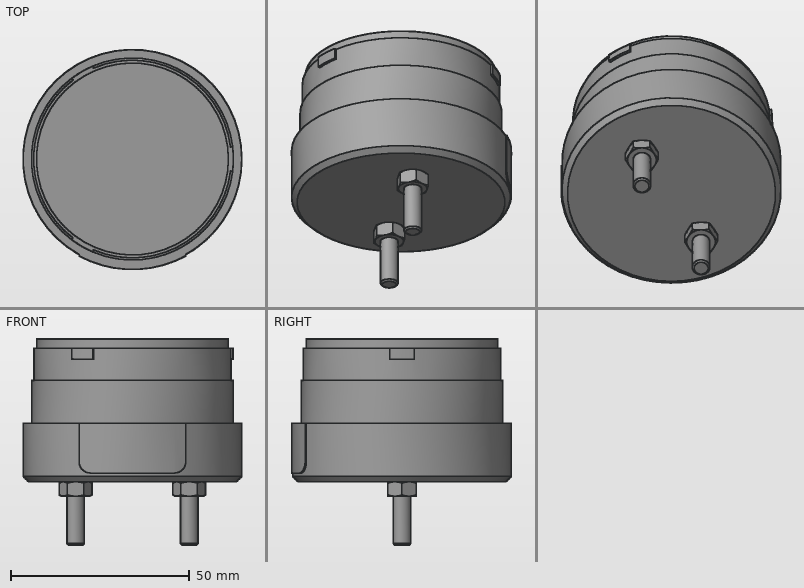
import cadquery as cq

BASE_RADIUS = 30.7
BASE_HEIGHT = 16.5
BASE_CHAMFER = 1.55
BODY_RADIUS = 28.3
BODY_TOP = 28.45
COLLAR_RADIUS = 27.7
COLLAR_TOP = 37.5
CAP_RADIUS = 26.9
CAP_TOP = 40.1

PAD_RADIUS = 31.01
PAD_WIDTH = 29.9
PAD_BOTTOM = 2.45
PAD_CORNER_RADIUS = 3.2

TAB_COUNT = 3
TAB_HEIGHT = 3.1
TAB_ANGLE = 14.0

STUD_SPACING = 31.85
STUD_RADIUS = 2.45
STUD_LENGTH = 17.8
STUD_CHAMFER = 0.5
NUT_CORNER_DIAMETER = 9.25
NUT_HEIGHT = 4.0
NUT_CHAMFER_RADIAL = 0.6
NUT_CHAMFER_AXIAL = 0.4


def disc(radius, bottom, top):
    return cq.Workplane("XY").workplane(offset=bottom).circle(radius).extrude(top - bottom)


def make_body():
    base = disc(BASE_RADIUS, 0, BASE_HEIGHT).faces("<Z").chamfer(BASE_CHAMFER)
    middle = disc(BODY_RADIUS, 0, BODY_TOP)
    collar = disc(COLLAR_RADIUS, 0, COLLAR_TOP)
    cap = disc(CAP_RADIUS, 0, CAP_TOP)
    return base.union(middle).union(collar).union(cap)


def make_pad():
    height = BASE_HEIGHT - PAD_BOTTOM
    block = (
        cq.Workplane("XZ")
        .center(0, PAD_BOTTOM + height / 2)
        .rect(PAD_WIDTH, height)
        .extrude(2 * PAD_RADIUS)
        .edges("|Y and <Z")
        .fillet(PAD_CORNER_RADIUS)
    )
    sleeve = disc(PAD_RADIUS, 0, BASE_HEIGHT).cut(disc(BODY_RADIUS, 0, BASE_HEIGHT))
    return block.intersect(sleeve)


def make_tab(center_angle):
    return (
        cq.Workplane("XZ")
        .moveTo(CAP_RADIUS, COLLAR_TOP - TAB_HEIGHT)
        .lineTo(BODY_RADIUS, COLLAR_TOP - TAB_HEIGHT)
        .lineTo(BODY_RADIUS, COLLAR_TOP)
        .lineTo(CAP_RADIUS, COLLAR_TOP)
        .close()
        .revolve(TAB_ANGLE, (0, 0, 0), (0, 1, 0))
        .rotate((0, 0, 0), (0, 0, 1), center_angle - TAB_ANGLE / 2)
    )


def make_nut():
    hexagon = cq.Workplane("XY").polygon(6, NUT_CORNER_DIAMETER).extrude(-NUT_HEIGHT)
    radius = NUT_CORNER_DIAMETER / 2
    face_radius = radius - NUT_CHAMFER_RADIAL
    envelope = (
        cq.Workplane("XZ")
        .moveTo(0, 0)
        .lineTo(face_radius, 0)
        .lineTo(radius, -NUT_CHAMFER_AXIAL)
        .lineTo(radius, NUT_CHAMFER_AXIAL - NUT_HEIGHT)
        .lineTo(face_radius, -NUT_HEIGHT)
        .lineTo(0, -NUT_HEIGHT)
        .close()
        .revolve(360, (0, 0, 0), (0, 1, 0))
    )
    return hexagon.intersect(envelope)


def make_stud_with_nut():
    stud = disc(STUD_RADIUS, -STUD_LENGTH, 0).faces("<Z").chamfer(STUD_CHAMFER)
    return stud.union(make_nut())


result = make_body().union(make_pad())

for index in range(TAB_COUNT):
    result = result.union(make_tab(index * 360 / TAB_COUNT))

for side in (-1, 1):
    result = result.union(make_stud_with_nut().translate((side * STUD_SPACING / 2, 0, 0)))